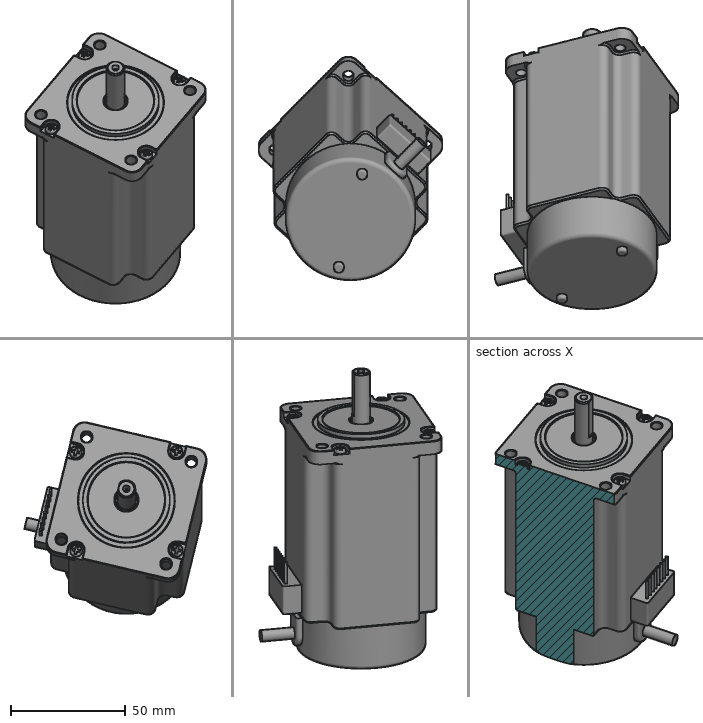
import cadquery as cq
import math

WIDTH = 60.0
OVERALL_DEPTH = 75.3
OVERALL_HEIGHT = 131.77

FLANGE_THICKNESS = 6.2
FLANGE_CORNER_RADIUS = 5.2
FLANGE_TOP_CHAMFER = 0.3
MOUNT_HOLE_SPACING = 47.14
MOUNT_HOLE_DIAMETER = 4.7

PILOT_DIAMETER = 38.1
PILOT_HEIGHT = 1.6
PILOT_GROOVE_DIAMETER = 42.6
PILOT_GROOVE_DEPTH = 0.3
PILOT_RECESS_DIAMETER = 34.2
PILOT_RECESS_DEPTH = 0.5
WALL_SLOPE = 0.3
SHAFT_BORE_DIAMETER = 9.6
SHAFT_BORE_DEPTH = 1.5
SHAFT_BORE_CHAMFER = 0.6

SHAFT_DIAMETER = 8.0
SHAFT_TOP_Z = 24.0
SHAFT_CHAMFER = 0.6
FLAT_DISTANCE = 3.5
FLAT_BOTTOM_Z = 3.9
CENTER_HOLE_DIAMETER = 3.0
CENTER_DRILL_DIAMETER = 1.2
CENTER_DRILL_DEPTH = 3.0
CENTER_CONE_ANGLE = 60.0

BODY_BOTTOM_Z = -84.8
NOTCH_WALL = 19.5
NOTCH_RADIUS = 3.4
BODY_CHAMFER = 0.8
FLARE_ANGLE = 45.0

SCREW_EDGE_OFFSET = 26.7
SCREW_SIDE_OFFSET = 16.2
SCREW_POCKET_WIDTH = 7.0
SCREW_POCKET_DEPTH = 2.4
SCREW_HEAD_DIAMETER = 5.2
SCREW_HEAD_HEIGHT = 1.8
SCREW_HEAD_ROUNDING = 0.8
CROSS_LENGTH = 3.4
CROSS_WIDTH = 1.0
CROSS_DEPTH = 0.8

CAP_DIAMETER = 56.8
CAP_BOTTOM_Z = -105.5
CAP_ROUNDING = 2.0
CAP_SCREW_CIRCLE_DIAMETER = 44.2
CAP_SCREW_ANGLES = (60.0, 240.0)
CAP_SCREW_DIAMETER = 4.6
CAP_SCREW_BOTTOM_Z = SHAFT_TOP_Z - OVERALL_HEIGHT
CAP_SCREW_ROUNDING = 0.8

CABLE_DIAMETER = 5.2
CABLE_Z = -96.15
CABLE_END_Y = OVERALL_DEPTH - WIDTH / 2
OUTLET_TOP_Z = -87.3
OUTLET_RADIUS = 5.75
OUTLET_FACE_Y = 30.6
OUTLET_ROUNDING = 1.2

CONNECTOR_WIDTH = 25.0
CONNECTOR_FACE_Y = 38.5
CONNECTOR_TOP_Z = -68.9
CONNECTOR_BOTTOM_Z = -82.4
CONNECTOR_SIDE_ROUNDING = 0.8
CONNECTOR_BOTTOM_ROUNDING = 1.0
PIN_COUNT = 8
PIN_PITCH = 2.6
PIN_DIAMETER = 1.2
PIN_Y = 36.35
PIN_TOP_Z = -59.0

OVERLAP = 1.0


def cylinder(diameter, bottom_z, top_z, x=0.0, y=0.0):
    """Upright cylinder between two heights."""
    return cq.Workplane("XY", origin=(x, y, bottom_z)).circle(diameter / 2).extrude(top_z - bottom_z)


def cone_frustum(top_diameter, slope, bottom_z, top_z):
    """Upright cone frustum that narrows downwards by the given radial slope."""
    top_radius = top_diameter / 2
    base = cq.Vector(0, 0, bottom_z)
    cone = cq.Solid.makeCone(top_radius - slope, top_radius, top_z - bottom_z, pnt=base)
    return cq.Workplane("XY").add(cone)


def notched_square(bottom_z):
    """Closed outline of the body on a plane at the given height."""
    half = WIDTH / 2
    wall = NOTCH_WALL
    r = NOTCH_RADIUS
    arcs = (
        ((half, wall - r), (half - r, wall - r), (half - r, wall)),
        ((wall + r, wall), (wall + r, wall + r), (wall, wall + r)),
        ((wall, half - r), (wall - r, half - r), (wall - r, half)),
    )

    def turned(point, quarter_turns):
        """Point turned about Z by whole quarter turns."""
        x, y = point
        for _ in range(quarter_turns):
            x, y = -y, x
        return x, y

    def arc_middle(start, center, end):
        """Point halfway along the arc."""
        chord_x = (start[0] + end[0]) / 2 - center[0]
        chord_y = (start[1] + end[1]) / 2 - center[1]
        reach = r / math.hypot(chord_x, chord_y)
        return center[0] + chord_x * reach, center[1] + chord_y * reach

    outline = cq.Workplane("XY", origin=(0, 0, bottom_z)).moveTo(half, -(wall - r))
    for quarter_turns in range(4):
        for start, center, end in arcs:
            middle = arc_middle(start, center, end)
            outline = outline.lineTo(*turned(start, quarter_turns))
            outline = outline.threePointArc(turned(middle, quarter_turns), turned(end, quarter_turns))
    return outline.close()


def on_each_side(shape):
    """Copies of a shape, moved to the screw position on each side of the flange."""
    placed = shape.translate((-SCREW_SIDE_OFFSET, -SCREW_EDGE_OFFSET, 0))
    return [placed.rotate((0, 0, 0), (0, 0, 1), 90 * side) for side in range(4)]


def make_screw_pocket():
    """Round-ended pocket open to the -Y edge of the flange."""
    edge_length = WIDTH / 2 - SCREW_EDGE_OFFSET
    pocket = cylinder(SCREW_POCKET_WIDTH, -SCREW_POCKET_DEPTH, 0)
    mouth = cq.Workplane("XY", origin=(0, -edge_length / 2, 0)).rect(SCREW_POCKET_WIDTH, edge_length)
    return pocket.union(mouth.extrude(-SCREW_POCKET_DEPTH))


def make_flange():
    """Plate with mounting holes and screw pockets, chamfered along every top edge."""
    plate = cq.Workplane("XY").rect(WIDTH, WIDTH).extrude(-FLANGE_THICKNESS)
    plate = plate.edges("|Z").fillet(FLANGE_CORNER_RADIUS)
    holes = (
        cq.Workplane("XY")
        .rect(MOUNT_HOLE_SPACING, MOUNT_HOLE_SPACING, forConstruction=True)
        .vertices()
        .circle(MOUNT_HOLE_DIAMETER / 2)
        .extrude(-FLANGE_THICKNESS)
    )
    plate = plate.cut(holes)
    for pocket in on_each_side(make_screw_pocket()):
        plate = plate.cut(pocket)
    return plate.faces(">Z").edges().chamfer(FLANGE_TOP_CHAMFER)


def make_body():
    """Notched bar, chamfered at the bottom and flared where the notches meet the flange."""
    flare_z = -FLANGE_THICKNESS - BODY_CHAMFER
    body = notched_square(BODY_BOTTOM_Z).extrude(flare_z - BODY_BOTTOM_Z)
    body = body.faces("<Z").edges().chamfer(BODY_CHAMFER)
    flare = notched_square(flare_z).extrude(BODY_CHAMFER, taper=-FLARE_ANGLE)
    envelope = cq.Workplane("XY", origin=(0, 0, flare_z)).rect(WIDTH, WIDTH).extrude(BODY_CHAMFER)
    return body.union(flare.intersect(envelope))


def add_pilot(part):
    """Pilot boss with its groove, top recess and shaft bore added to a part."""
    recess_z = PILOT_HEIGHT - PILOT_RECESS_DEPTH
    bore_mouth_diameter = SHAFT_BORE_DIAMETER + 2 * SHAFT_BORE_CHAMFER
    groove = cone_frustum(PILOT_GROOVE_DIAMETER, WALL_SLOPE, -PILOT_GROOVE_DEPTH, 0)
    pilot = cylinder(PILOT_DIAMETER, -OVERLAP, PILOT_HEIGHT)
    recess = cone_frustum(PILOT_RECESS_DIAMETER, WALL_SLOPE, recess_z, PILOT_HEIGHT)
    bore = cylinder(SHAFT_BORE_DIAMETER, recess_z - SHAFT_BORE_DEPTH, recess_z)
    bore_mouth = cone_frustum(bore_mouth_diameter, SHAFT_BORE_CHAMFER, recess_z - SHAFT_BORE_CHAMFER, recess_z)
    return part.cut(groove).union(pilot).cut(recess).cut(bore).cut(bore_mouth)


def make_shaft():
    """Shaft with a chamfered, centre-drilled end and a flat facing +Y."""
    shaft = cylinder(SHAFT_DIAMETER, -FLANGE_THICKNESS, SHAFT_TOP_Z)
    shaft = shaft.faces(">Z").edges().chamfer(SHAFT_CHAMFER)
    shaft = shaft.faces(">Z").workplane().cskHole(
        CENTER_DRILL_DIAMETER, CENTER_HOLE_DIAMETER, CENTER_CONE_ANGLE, CENTER_DRILL_DEPTH
    )
    flat = cq.Workplane("XY").box(
        SHAFT_DIAMETER, SHAFT_DIAMETER, SHAFT_TOP_Z - FLAT_BOTTOM_Z, centered=(True, False, False)
    )
    return shaft.cut(flat.translate((0, FLAT_DISTANCE, FLAT_BOTTOM_Z)))


def make_screw_head():
    """Rounded screw head with a cross recess, sitting on the pocket floor."""
    top_z = SCREW_HEAD_HEIGHT - SCREW_POCKET_DEPTH
    head = cylinder(SCREW_HEAD_DIAMETER, -SCREW_POCKET_DEPTH - OVERLAP, top_z)
    head = head.faces(">Z").edges().fillet(SCREW_HEAD_ROUNDING)
    cross = cq.Workplane("XY", origin=(0, 0, top_z)).rect(CROSS_LENGTH, CROSS_WIDTH).extrude(-CROSS_DEPTH)
    cross = cross.union(cross.rotate((0, 0, 0), (0, 0, 1), 90))
    return head.cut(cross)


def make_cap():
    """Round cap with a rounded bottom edge and screw heads below it."""
    cap = cylinder(CAP_DIAMETER, CAP_BOTTOM_Z, BODY_BOTTOM_Z + OVERLAP)
    cap = cap.faces("<Z").edges().fillet(CAP_ROUNDING)
    circle_radius = CAP_SCREW_CIRCLE_DIAMETER / 2
    for angle in CAP_SCREW_ANGLES:
        x = circle_radius * math.cos(math.radians(angle))
        y = circle_radius * math.sin(math.radians(angle))
        head = cylinder(CAP_SCREW_DIAMETER, CAP_SCREW_BOTTOM_Z, CAP_BOTTOM_Z + OVERLAP, x, y)
        cap = cap.union(head.faces("<Z").edges().fillet(CAP_SCREW_ROUNDING))
    return cap


def make_cable_outlet():
    """U-shaped boss with a rounded rim, and the cable leaving it along +Y."""
    outlet = (
        cq.Workplane("XZ")
        .moveTo(-OUTLET_RADIUS, OUTLET_TOP_Z)
        .lineTo(-OUTLET_RADIUS, CABLE_Z)
        .threePointArc((0, CABLE_Z - OUTLET_RADIUS), (OUTLET_RADIUS, CABLE_Z))
        .lineTo(OUTLET_RADIUS, OUTLET_TOP_Z)
        .close()
        .extrude(-OUTLET_FACE_Y)
    )
    outlet = outlet.faces(">Y").edges("not >Z").fillet(OUTLET_ROUNDING)
    cable = cq.Workplane("XZ", origin=(0, 0, CABLE_Z)).circle(CABLE_DIAMETER / 2).extrude(-CABLE_END_Y)
    return outlet.union(cable)


def make_connector():
    """Block with rounded outer and bottom edges and a row of upright pins."""
    inner_y = WIDTH / 2 - OVERLAP
    housing = cq.Workplane("XY").box(
        CONNECTOR_WIDTH,
        CONNECTOR_FACE_Y - inner_y,
        CONNECTOR_TOP_Z - CONNECTOR_BOTTOM_Z,
        centered=(True, False, False),
    )
    housing = housing.translate((0, inner_y, CONNECTOR_BOTTOM_Z))
    housing = housing.edges("|Z and >Y").fillet(CONNECTOR_SIDE_ROUNDING)
    housing = housing.faces("<Z").edges("not <Y").fillet(CONNECTOR_BOTTOM_ROUNDING)
    for index in range(PIN_COUNT):
        x = (index - (PIN_COUNT - 1) / 2) * PIN_PITCH
        housing = housing.union(cylinder(PIN_DIAMETER, CONNECTOR_TOP_Z - OVERLAP, PIN_TOP_Z, x, PIN_Y))
    return housing


motor = make_flange().union(make_body())
motor = add_pilot(motor)
for screw_head in on_each_side(make_screw_head()):
    motor = motor.union(screw_head)
for component in (make_shaft(), make_cap(), make_cable_outlet(), make_connector()):
    motor = motor.union(component)

result = motor